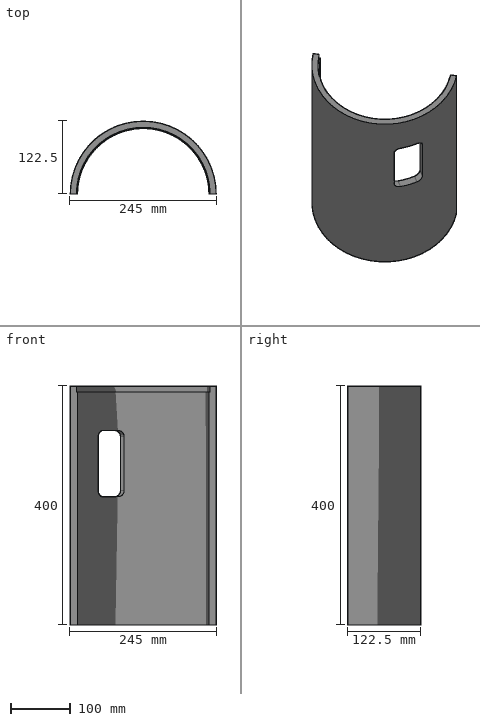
import cadquery as cq

height = 400.0
outer_radius = 122.5
wall = 12.5
inner_radius = outer_radius - wall

rim_step = 2.0
recess_radius = inner_radius + rim_step
recess_depth = 10.0

window_width = 50.0
window_height = 111.0
window_corner = 10.5
window_angle = 30.0
window_z = 270.5


def half_cylinder(radius, length):
    """Half disc on the +Y side of the XZ plane, extruded upward from Z = 0."""
    return (
        cq.Workplane("XY")
        .moveTo(-radius, 0)
        .threePointArc((0, radius), (radius, 0))
        .close()
        .extrude(length)
    )


shell = half_cylinder(outer_radius, height).cut(half_cylinder(inner_radius, height))

rim_recess = half_cylinder(recess_radius, recess_depth).translate((0, 0, height - recess_depth))

window = (
    cq.Workplane("XY")
    .box(window_width, outer_radius, window_height, centered=(True, False, True))
    .edges("|Y")
    .fillet(window_corner)
    .translate((0, outer_radius / 2, window_z))
    .rotate((0, 0, 0), (0, 0, 1), window_angle)
)

result = shell.cut(rim_recess).cut(window)